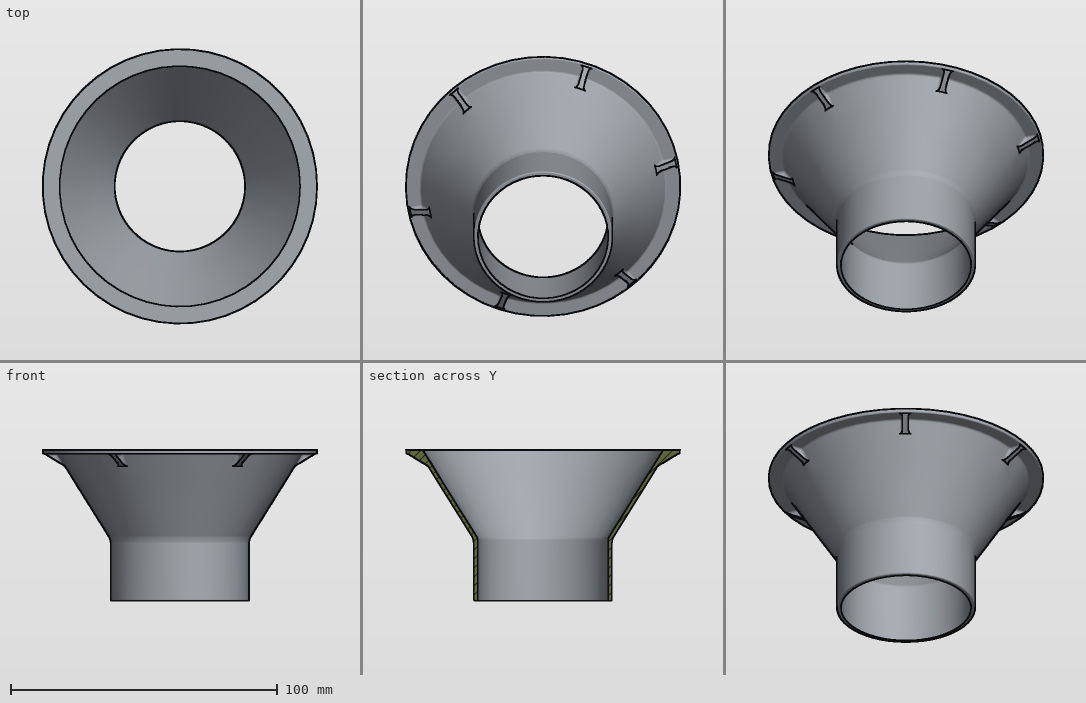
import cadquery as cq
import math


height = 56.6
flange_radius = 103.0 / 2
flange_thickness = 1.5
flange_bottom_z = height - flange_thickness

spigot_radius = 52.0 / 2
bore_radius = 48.8 / 2
wall = spigot_radius - bore_radius

cone_start_z = 23.1
cone_top_radius = 47.0
cone_slope = (cone_top_radius - spigot_radius) / (height - cone_start_z)
cone_half_angle = math.atan(cone_slope)
inner_top_radius = cone_top_radius - wall / math.cos(cone_half_angle)
inner_start_z = height - (inner_top_radius - bore_radius) / cone_slope

rib_count = 6
rib_width = 2.2
rib_tip_radius = 50.7
rib_foot_z = 50.6
rib_root_depth = 4.1

outer_bend_fillet = 4.4
inner_bend_fillet = 1.5
rim_fillet = 0.5
blend_fillet = 1.0


def outer_cone_radius(z):
    return spigot_radius + (z - cone_start_z) * cone_slope


def circle_at(radius, z):
    """Select the circular edge of a given radius at a given height."""
    reach = 0.1
    return cq.selectors.BoxSelector(
        (-radius - reach, -radius - reach, z - reach),
        (radius + reach, radius + reach, z + reach),
        boundingbox=True,
    )


def make_outer_body():
    """Solid outside shape of the funnel, without its ribs."""
    root_radius = outer_cone_radius(flange_bottom_z)
    body = (
        cq.Workplane("XZ")
        .lineTo(spigot_radius, 0)
        .lineTo(spigot_radius, cone_start_z)
        .lineTo(root_radius, flange_bottom_z)
        .lineTo(flange_radius, flange_bottom_z)
        .lineTo(flange_radius, height)
        .lineTo(0, height)
        .close()
        .revolve(360, (0, 0), (0, 1))
    )
    body = body.edges(circle_at(root_radius, flange_bottom_z)).fillet(blend_fillet)
    body = body.edges(circle_at(spigot_radius, cone_start_z)).fillet(outer_bend_fillet)
    body = body.edges(circle_at(spigot_radius, 0)).fillet(rim_fillet)
    return body.edges(circle_at(flange_radius, flange_bottom_z)).fillet(rim_fillet)


def make_rib(angle):
    """Triangular rib whose sloping underside runs on into the solid cone."""
    foot_radius = outer_cone_radius(rib_foot_z)
    underside_slope = (flange_bottom_z - rib_foot_z) / (rib_tip_radius - foot_radius)
    root_radius = foot_radius - rib_root_depth
    root_z = rib_foot_z - (foot_radius - root_radius) * underside_slope
    return (
        cq.Workplane("XZ")
        .moveTo(rib_tip_radius, flange_bottom_z)
        .lineTo(root_radius, root_z)
        .lineTo(root_radius, flange_bottom_z)
        .close()
        .extrude(rib_width / 2, both=True)
        .rotate((0, 0, 0), (0, 0, 1), angle)
    )


def make_inside():
    """Funnel passage: the bore, opening into the inner cone."""
    passage = (
        cq.Workplane("XZ")
        .lineTo(bore_radius, 0)
        .lineTo(bore_radius, inner_start_z)
        .lineTo(inner_top_radius, height)
        .lineTo(0, height)
        .close()
        .revolve(360, (0, 0), (0, 1))
    )
    return passage.edges(circle_at(bore_radius, inner_start_z)).fillet(inner_bend_fillet)


body = make_outer_body()
for i in range(rib_count):
    body = body.union(make_rib(i * 360 / rib_count))

body = body.edges("%HYPERBOLA").fillet(blend_fillet)

result = body.cut(make_inside())